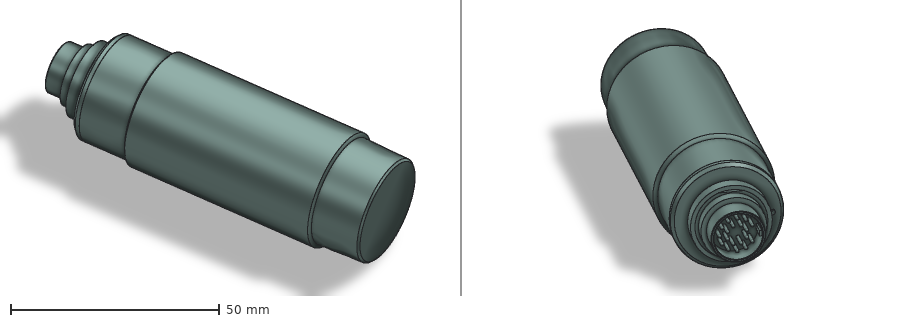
import cadquery as cq
import math


SHELL_DIAMETER = 13.45
SHELL_LENGTH = 5.0
COLLAR_DIAMETER = 16.2
THREAD_DIAMETER = 17.9
FLAT_HEIGHT = 8.4
SOCKET_DIAMETER = 12.0
SOCKET_DEPTH = 5.0
RIM_CHAMFER = 0.2
KEY_WIDTH = 1.4
KEY_TIP_RADIUS = 5.4
KEY_SETBACK = 0.9
PIN_DIAMETER = 0.9
PIN_SETBACK = 0.9
INNER_RING_DIAMETER = 5.1
INNER_RING_COUNT = 8
OUTER_RING_DIAMETER = 8.6
OUTER_RING_COUNT = 12

NUT_START = 7.8
NUT_LENGTH = 3.1
NUT_DIAMETER = 20.1

CAP_START = 11.9
CAP_LENGTH = 1.9
CAP_DIAMETER = 27.9
CAP_CHAMFER = 0.8
VENT_DIAMETER = 1.5
VENT_OFFSET = 11.0

HOUSING_START = CAP_START + CAP_LENGTH
SLEEVE_START = 26.4
SLEEVE_END = 78.05
SLEEVE_DIAMETER = 30.0
SLEEVE_CHAMFER_LENGTH = 0.6
SLEEVE_TAPER_LENGTH = 0.5
TAIL_END = 91.5
TAIL_CHAMFER = 0.55
TAIL_BULGE = 0.02
TAIL_END_DIAMETER = 27.2


def disc(start, end, diameter):
    """Solid cylinder along X from start to end."""
    plane = cq.Plane(origin=(start, 0, 0), xDir=(0, -1, 0), normal=(1, 0, 0))
    return cq.Workplane(plane).circle(diameter / 2).extrude(end - start)


def pin_places():
    """(Y, Z) of each contact; the outer ring leaves its -Y place free for the key."""
    places = []
    for i in range(INNER_RING_COUNT):
        angle = 2 * math.pi * (i + 0.5) / INNER_RING_COUNT
        places.append((INNER_RING_DIAMETER / 2 * math.cos(angle), INNER_RING_DIAMETER / 2 * math.sin(angle)))
    for i in range(OUTER_RING_COUNT):
        if i == OUTER_RING_COUNT // 2:
            continue
        angle = 2 * math.pi * i / OUTER_RING_COUNT
        places.append((OUTER_RING_DIAMETER / 2 * math.cos(angle), OUTER_RING_DIAMETER / 2 * math.sin(angle)))
    return places


def make_pins():
    """Round-nosed contacts standing on the socket floor."""
    pin_radius = PIN_DIAMETER / 2
    nose_centre = PIN_SETBACK + pin_radius
    pin_plane = cq.Workplane("YZ", origin=(nose_centre, 0, 0)).pushPoints(pin_places())
    shanks = pin_plane.circle(pin_radius).extrude(SOCKET_DEPTH - nose_centre)
    noses = pin_plane.sphere(pin_radius)
    return shanks.union(noses)


def make_key():
    """Rib on the -Y wall of the socket."""
    key_length = SOCKET_DEPTH - KEY_SETBACK
    wall_middle = (SHELL_DIAMETER + SOCKET_DIAMETER) / 4
    return cq.Workplane("XY").box(
        key_length, wall_middle - KEY_TIP_RADIUS, KEY_WIDTH, centered=(False, False, True)
    ).translate((KEY_SETBACK, -wall_middle, 0))


def make_connector():
    shell = disc(0, SHELL_LENGTH, SHELL_DIAMETER)
    socket = disc(0, SOCKET_DEPTH, SOCKET_DIAMETER)
    collar = disc(SHELL_LENGTH, NUT_START, COLLAR_DIAMETER)
    flats = cq.Workplane("XY").box(2 * CAP_START, THREAD_DIAMETER, 2 * FLAT_HEIGHT)
    neck = disc(NUT_START, CAP_START, THREAD_DIAMETER).intersect(flats)
    barrel = shell.cut(socket).faces("<X").edges().chamfer(RIM_CHAMFER)
    return barrel.union(collar).union(neck).union(make_key()).union(make_pins())


def make_nut():
    nut_end = NUT_START + NUT_LENGTH
    return disc(NUT_START, nut_end, NUT_DIAMETER).cut(disc(NUT_START, nut_end, THREAD_DIAMETER))


def make_cap():
    cap = disc(CAP_START, HOUSING_START, CAP_DIAMETER).faces("<X").edges().chamfer(CAP_CHAMFER)
    vent = disc(CAP_START, HOUSING_START, VENT_DIAMETER).translate((0, -VENT_OFFSET, 0))
    return cap.cut(vent)


def make_housing():
    front_radius = CAP_DIAMETER / 2
    sleeve_radius = SLEEVE_DIAMETER / 2
    end_radius = TAIL_END_DIAMETER / 2
    tail_start = SLEEVE_END + SLEEVE_TAPER_LENGTH
    chamfer_start = TAIL_END - TAIL_CHAMFER
    tail_middle = ((tail_start + chamfer_start) / 2, (front_radius + end_radius) / 2 + TAIL_BULGE)
    profile = (
        cq.Workplane("XY")
        .moveTo(HOUSING_START, 0)
        .lineTo(HOUSING_START, front_radius)
        .lineTo(SLEEVE_START, front_radius)
        .lineTo(SLEEVE_START + SLEEVE_CHAMFER_LENGTH, sleeve_radius)
        .lineTo(SLEEVE_END, sleeve_radius)
        .lineTo(tail_start, front_radius)
        .threePointArc(tail_middle, (chamfer_start, end_radius))
        .lineTo(TAIL_END, end_radius - TAIL_CHAMFER)
        .lineTo(TAIL_END, 0)
        .close()
    )
    return profile.revolve(360, (0, 0, 0), (1, 0, 0))


connector = make_connector()
nut = make_nut()
cap = make_cap()
housing = make_housing()

result = cq.Compound.makeCompound([connector.val(), nut.val(), cap.val(), housing.val()])